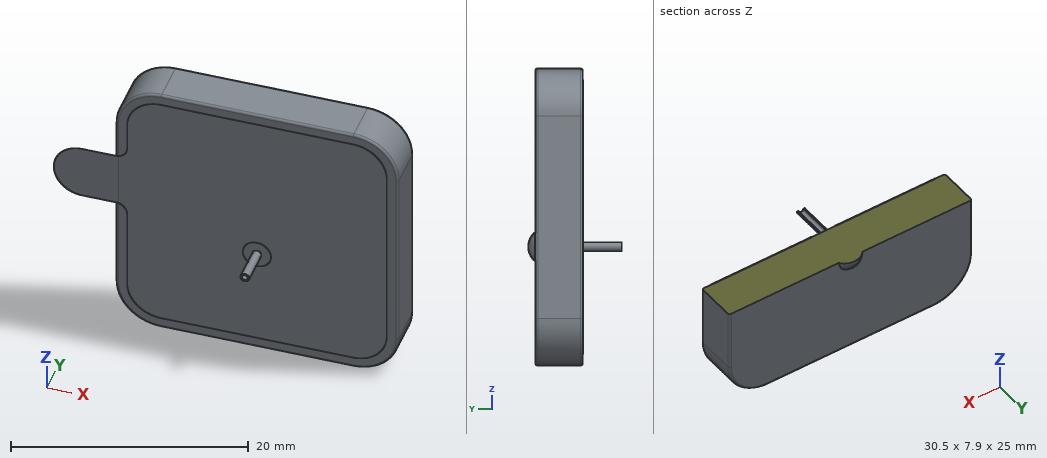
import cadquery as cq
import math


overall_length = 30.5

block_side = 25.0
block_thickness = 4.0
block_corner_radius = 4.0
edge_fillet = 0.2

feed_x = 0.0
feed_z = -2.5
pin_radius = 0.4
pin_length = 3.3
pin_bore_radius = 0.25
dome_radius = 1.2
dome_rim_height = 0.05
dome_cap_height = 0.55

film_thickness = 0.03
film_inset = 1.0
film_side = block_side - 2 * film_inset
film_corner_radius = block_corner_radius - film_inset
film_hole_radius = 1.25
tab_width = 5.0
tab_z = 2.5
tab_end_x = block_side / 2 - overall_length
tab_root_radius = film_inset


def make_block():
    """Rounded square block with softened front and back edges."""
    return (
        cq.Workplane("XZ")
        .rect(block_side, block_side)
        .extrude(-block_thickness)
        .edges("|Y")
        .fillet(block_corner_radius)
        .faces("<Y or >Y")
        .edges()
        .fillet(edge_fillet)
    )


def make_pin():
    """Tube standing on the front face."""
    return (
        cq.Workplane("XZ")
        .center(feed_x, feed_z)
        .circle(pin_radius)
        .circle(pin_bore_radius)
        .extrude(pin_length)
    )


def make_dome():
    """Low cylindrical rim with a spherical cap, revolved around the pin axis."""
    rim_y = block_thickness + dome_rim_height
    apex_y = rim_y + dome_cap_height
    sphere_radius = (dome_radius**2 + dome_cap_height**2) / (2 * dome_cap_height)
    mid_x = dome_radius / 2
    mid_y = apex_y - sphere_radius + math.sqrt(sphere_radius**2 - mid_x**2)
    return (
        cq.Workplane("XY", origin=(feed_x, 0, feed_z))
        .moveTo(0, block_thickness)
        .lineTo(dome_radius, block_thickness)
        .lineTo(dome_radius, rim_y)
        .threePointArc((mid_x, mid_y), (0, apex_y))
        .close()
        .revolve(360, (0, 0, 0), (0, 1, 0))
    )


def make_film():
    """Rounded square film with a round-ended tab and a clearance hole for the pin."""
    square = (
        cq.Workplane("XZ")
        .rect(film_side, film_side)
        .extrude(film_thickness)
        .edges("|Y")
        .fillet(film_corner_radius)
    )
    tab_round_x = tab_end_x + tab_width / 2
    tab_bottom = tab_z - tab_width / 2
    tab_top = tab_z + tab_width / 2
    tab = (
        cq.Workplane("XZ")
        .moveTo(0, tab_bottom)
        .lineTo(tab_round_x, tab_bottom)
        .threePointArc((tab_end_x, tab_z), (tab_round_x, tab_top))
        .lineTo(0, tab_top)
        .close()
        .extrude(film_thickness)
    )
    root_x = -film_side / 2
    margin = tab_root_radius / 2
    tab_roots = cq.selectors.BoxSelector(
        (root_x - margin, -film_thickness - margin, tab_bottom - margin),
        (root_x + margin, margin, tab_top + margin),
    )
    outline = square.union(tab).edges("|Y").edges(tab_roots).fillet(tab_root_radius)
    hole = cq.Workplane("XZ").center(feed_x, feed_z).circle(film_hole_radius).extrude(film_thickness)
    return outline.cut(hole)


antenna = make_block().union(make_pin()).union(make_dome())
film = make_film()

result = cq.Compound.makeCompound([antenna.val(), film.val()])